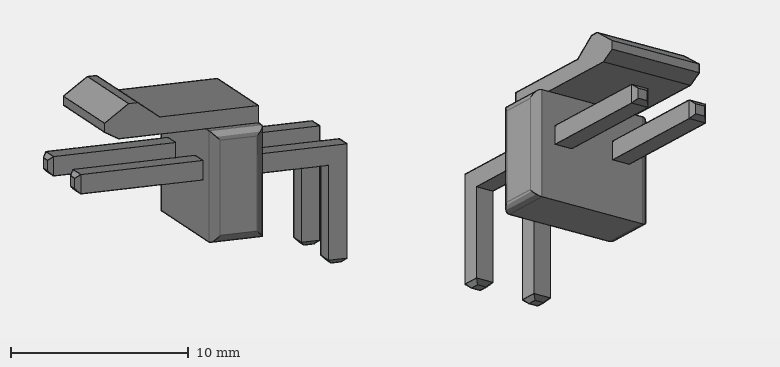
import cadquery as cq

body_width = 7.85
body_depth = 3.2
body_height = 6.52
body_round = 0.48

pin_size = 1.14
pin_pitch = 3.96
pin_length = 16.5
pin_rear = 5.6
pin_axis_height = 3.98
pin_drop = 2.41
pin_chamfer = 0.26

latch_width = 6.0
latch_thickness = 1.0
latch_length = 9.39
hook_height = 0.99
hook_ramp_start = 6.02
hook_crest_start = 7.38
hook_crest_end = 7.92
hook_under_start = 8.53
hook_under_rise = 0.48


def make_body():
    """Block with rounded edges around both side faces."""
    block = cq.Workplane("XY").box(
        body_width, body_depth, body_height, centered=(True, False, False)
    )
    block = block.translate((0, -body_depth, 0))
    return block.faces("<X or >X").edges().fillet(body_round)


def make_latch():
    """Flat arm on top of the housing, ending in a raised hook."""
    arm_bottom = body_height
    arm_top = arm_bottom + latch_thickness
    crest = arm_top + hook_height
    profile = [
        (0, arm_bottom),
        (0, arm_top),
        (-hook_ramp_start, arm_top),
        (-hook_crest_start, crest),
        (-hook_crest_end, crest),
        (-latch_length, arm_top),
        (-latch_length, arm_bottom + hook_under_rise),
        (-hook_under_start, arm_bottom),
    ]
    return cq.Workplane("YZ").polyline(profile).close().extrude(latch_width / 2, both=True)


def make_pin(x):
    """Square pin running through the housing and bent down behind it."""
    front = pin_rear - pin_length
    top = pin_axis_height + pin_size / 2
    bottom = top - pin_size
    leg_front = pin_rear - pin_size
    profile = [
        (front, top),
        (pin_rear, top),
        (pin_rear, -pin_drop),
        (leg_front, -pin_drop),
        (leg_front, bottom),
        (front, bottom),
    ]
    pin = cq.Workplane("YZ").polyline(profile).close().extrude(pin_size / 2, both=True)
    pin = pin.faces("<Y").chamfer(pin_chamfer)
    pin = pin.faces("<Z").chamfer(pin_chamfer)
    return pin.translate((x, 0, 0))


result = make_body().union(make_latch())
for side in (-1, 1):
    result = result.union(make_pin(side * pin_pitch / 2))